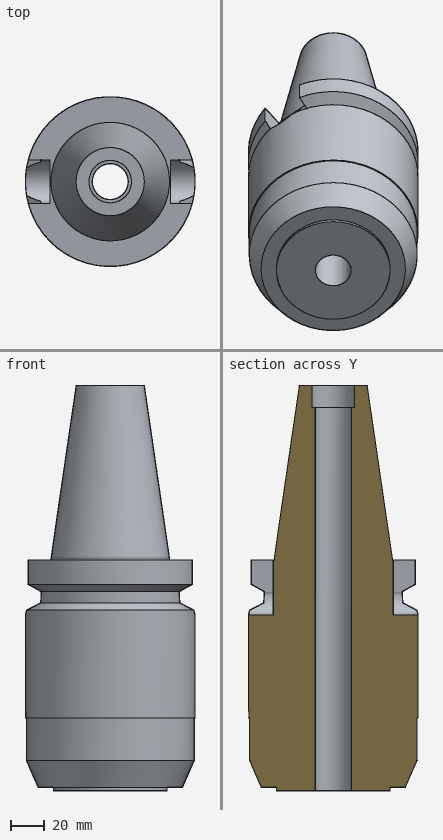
import cadquery as cq


GAUGE_RADIUS = 69.85 / 2
TAPER_LENGTH = 101.8
TAPER_RATIO = 7 / 24
TAPER_TOP_RADIUS = GAUGE_RADIUS - TAPER_LENGTH * TAPER_RATIO / 2

FLANGE_RADIUS = 50.0
FLANGE_TOP = -1.0
GROOVE_CENTRE = -23.0
GROOVE_FLOOR_WIDTH = 6.7
GROOVE_FLOOR_RADIUS = 42.7
GROOVE_FLANK_RISE = 4.2

OVERALL_LENGTH = 238.8
BOTTOM = TAPER_LENGTH - OVERALL_LENGTH
NOSE_RADIUS = 49.5
NOSE_END_RADIUS = 42.5
LIP_RADIUS = 33.5
LIP_HEIGHT = 2.0
NOSE_CONE_HEIGHT = 16.0
NOSE_CYLINDER_HEIGHT = 25.0
NOSE_END = BOTTOM + LIP_HEIGHT
NOSE_CONE_TOP = NOSE_END + NOSE_CONE_HEIGHT
BODY_BOTTOM = NOSE_CONE_TOP + NOSE_CYLINDER_HEIGHT

SLOT_WIDTH = 25.7
SLOT_FLOOR_DISTANCE = 35.4
SLOT_BOTTOM = -33.4
SLOT_OVERCUT = 5.0

BORE_RADIUS = 10.5
PILOT_RADIUS = 12.5
PILOT_DEPTH = 13.0


def make_holder():
    """Solid of revolution: taper, flange, groove, body and nose."""
    half_floor = GROOVE_FLOOR_WIDTH / 2
    half_mouth = half_floor + GROOVE_FLANK_RISE
    profile = [
        (0, TAPER_LENGTH),
        (TAPER_TOP_RADIUS, TAPER_LENGTH),
        (GAUGE_RADIUS, 0),
        (GAUGE_RADIUS, FLANGE_TOP),
        (FLANGE_RADIUS, FLANGE_TOP),
        (FLANGE_RADIUS, GROOVE_CENTRE + half_mouth),
        (GROOVE_FLOOR_RADIUS, GROOVE_CENTRE + half_floor),
        (GROOVE_FLOOR_RADIUS, GROOVE_CENTRE - half_floor),
        (FLANGE_RADIUS, GROOVE_CENTRE - half_mouth),
        (FLANGE_RADIUS, BODY_BOTTOM),
        (NOSE_RADIUS, BODY_BOTTOM),
        (NOSE_RADIUS, NOSE_CONE_TOP),
        (NOSE_END_RADIUS, NOSE_END),
        (LIP_RADIUS, NOSE_END),
        (LIP_RADIUS, BOTTOM),
        (0, BOTTOM),
    ]
    return cq.Workplane("XZ").polyline(profile).close().revolve(360, (0, 0), (0, 1))


def make_drive_slot(side):
    """Round-ended slot cutter on the +X (side = 1) or -X (side = -1) side."""
    half_width = SLOT_WIDTH / 2
    arc_centre = SLOT_BOTTOM + half_width
    depth = FLANGE_RADIUS + SLOT_OVERCUT - SLOT_FLOOR_DISTANCE
    return (
        cq.Workplane("YZ", origin=(side * SLOT_FLOOR_DISTANCE, 0, 0))
        .moveTo(-half_width, FLANGE_TOP)
        .lineTo(-half_width, arc_centre)
        .threePointArc((0, SLOT_BOTTOM), (half_width, arc_centre))
        .lineTo(half_width, FLANGE_TOP)
        .close()
        .extrude(side * depth)
    )


def make_bore():
    """Through bore with a wider pilot at the small end of the taper."""
    bore = cq.Workplane("XY", origin=(0, 0, BOTTOM)).circle(BORE_RADIUS).extrude(OVERALL_LENGTH)
    pilot = cq.Workplane("XY", origin=(0, 0, TAPER_LENGTH)).circle(PILOT_RADIUS).extrude(-PILOT_DEPTH)
    return bore.union(pilot)


result = make_holder()
for slot_side in (-1, 1):
    result = result.cut(make_drive_slot(slot_side))
result = result.cut(make_bore())